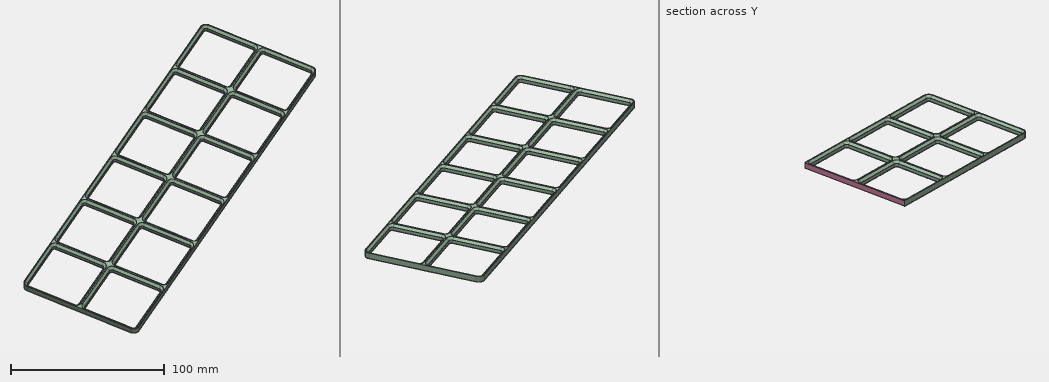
import cadquery as cq

cell_pitch = 42.0
cells_x = 2
cells_y = 6

plate_width = cells_x * cell_pitch
plate_length = cells_y * cell_pitch
plate_height = 4.15
corner_radius = 4.0

top_land = 1.0
flare_depth = 1.65
flare_angle = 45.0
throat_setback = top_land / 2 + flare_depth
throat_opening = cell_pitch - 2 * throat_setback
throat_radius = corner_radius - throat_setback
throat_height = plate_height - flare_depth


def rounded_block(width, length, height, radius):
    """Upright block with rounded vertical edges, standing on Z = 0."""
    block = cq.Workplane("XY").box(width, length, height, centered=(True, True, False))
    return block.edges("|Z").fillet(radius)


def cell_cutter():
    """Solid matching one opening: a straight throat below an outward flare."""
    throat = rounded_block(throat_opening, throat_opening, throat_height, throat_radius)
    return throat.faces(">Z").wires().toPending().extrude(flare_depth, taper=-flare_angle)


def cut_cells(plate):
    """Cut every cell opening through the plate."""
    cutter = cell_cutter()
    for column in range(cells_x):
        for row in range(cells_y):
            x = (column + 0.5) * cell_pitch - plate_width / 2
            y = (row + 0.5) * cell_pitch - plate_length / 2
            plate = plate.cut(cutter.translate((x, y, 0)))
    return plate


blank = rounded_block(plate_width, plate_length, plate_height, corner_radius)
result = cut_cells(blank)